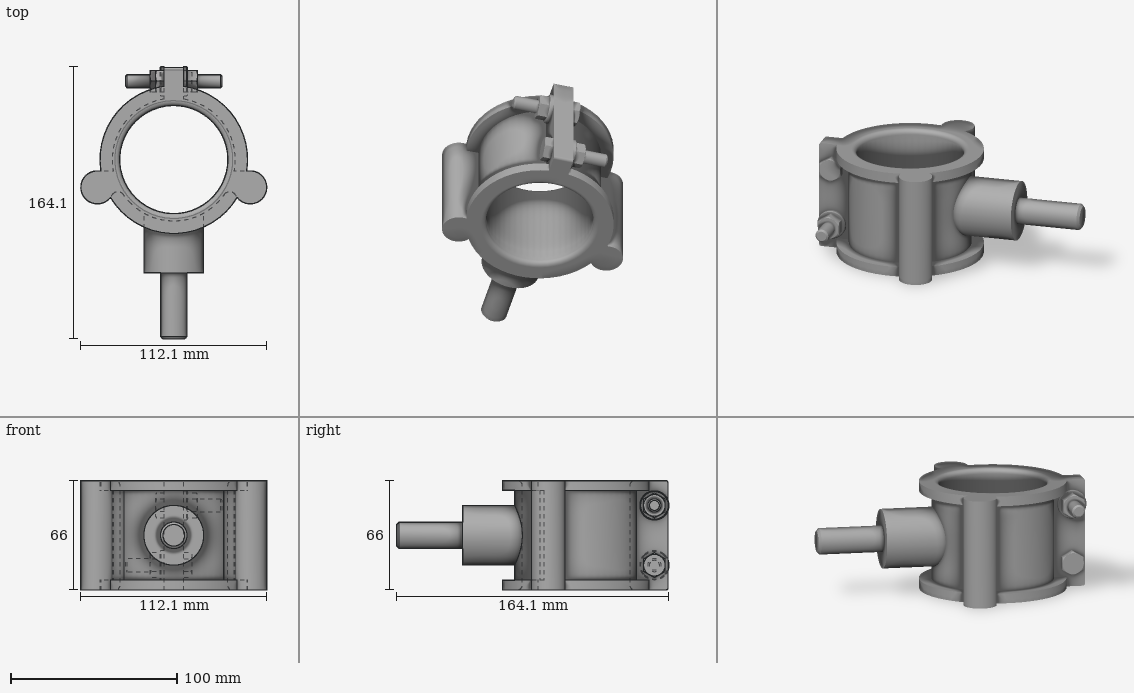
import cadquery as cq
import math

ring_height = 66.0
bore_radius = 32.5
wall_radius = 37.0
flange_radius = 44.5
flange_thickness = 6.0
bore_mouth_fillet = 3.0

post_radius = 10.0
post_distance = 49.0
post_angle = 20.0
post_fillet = 4.0

boss_radius = 18.0
boss_end = 68.3
rod_radius = 8.0
rod_end = 108.1
rod_chamfer = 1.5

lug_width = 12.0
lug_end = 55.5
lug_end_fillet = 1.5

bolt_y = 47.2
bolt_offset_z = 18.0
bolt_radius = 4.0
bolt_tip_x = 29.1
bolt_tip_chamfer = 1.0
hex_across_flats = 13.0
head_thickness = 5.0
nut_thickness = 6.0
washer_radius = 8.8
washer_thickness = 2.3
washer_chamfer = 0.5
hex_chamfer_angle = 30.0

half_height = ring_height / 2
lug_face_x = lug_width / 2
lug_root_y = (bore_radius + wall_radius) / 2


def cylinder_z(radius, height, x=0.0, y=0.0):
    """Upright cylinder centred on the Z = 0 plane."""
    return cq.Workplane("XY").center(x, y).circle(radius).extrude(height / 2, both=True)


def cylinder_x(radius, start, length):
    """Cylinder on the X axis, running from X = start towards +X."""
    return cq.Workplane("YZ", origin=(start, 0, 0)).circle(radius).extrude(length)


def cylinder_minus_y(radius, start, end):
    """Cylinder on the Y axis, running from Y = -start to Y = -end."""
    return cq.Workplane("XZ", origin=(0, -start, 0)).circle(radius).extrude(end - start)


def make_ring():
    ring = cylinder_z(wall_radius, ring_height)
    for bottom in (-half_height, half_height - flange_thickness):
        flange = cq.Workplane("XY", origin=(0, 0, bottom)).circle(flange_radius)
        ring = ring.union(flange.extrude(flange_thickness))
    return ring


def make_post():
    """Post on the +X side; its web is flat towards +Y and filleted towards -Y."""
    post_x = post_distance * math.cos(math.radians(post_angle))
    post_y = -post_distance * math.sin(math.radians(post_angle))
    flat_y = post_y + post_radius

    wall_to_fillet = wall_radius + post_fillet
    post_to_fillet = post_radius + post_fillet
    along = (post_distance**2 + wall_to_fillet**2 - post_to_fillet**2) / (2 * post_distance)
    fillet_angle = -math.radians(post_angle) - math.acos(along / wall_to_fillet)
    fillet_x = wall_to_fillet * math.cos(fillet_angle)
    fillet_y = wall_to_fillet * math.sin(fillet_angle)

    corners = [(0, flat_y), (fillet_x, fillet_y), (post_x, post_y), (post_x, flat_y)]
    web = cq.Workplane("XY").polyline(corners).close().extrude(half_height, both=True)
    web = web.cut(cylinder_z(post_fillet, ring_height, fillet_x, fillet_y))
    return web.union(cylinder_z(post_radius, ring_height, post_x, post_y))


def make_lug():
    lug = cq.Workplane("XY").box(lug_width, lug_end - lug_root_y, ring_height)
    lug = lug.translate((0, (lug_end + lug_root_y) / 2, 0))
    return lug.edges("|X and >Y").fillet(lug_end_fillet)


def make_arm():
    boss = cylinder_minus_y(boss_radius, 0, boss_end)
    rod = cylinder_minus_y(rod_radius, boss_end, rod_end)
    return boss.union(rod.faces("<Y").chamfer(rod_chamfer))


def make_bore():
    """Space inside the ring, widening at both ends along the rounded mouths."""
    mouth_radius = bore_radius + bore_mouth_fillet
    straight_half = half_height - bore_mouth_fillet
    arc_offset = bore_mouth_fillet * math.sqrt(0.5)
    arc_x = mouth_radius - arc_offset
    arc_z = straight_half + arc_offset
    profile = (
        cq.Workplane("XZ")
        .moveTo(0, -half_height)
        .lineTo(mouth_radius, -half_height)
        .threePointArc((arc_x, -arc_z), (bore_radius, -straight_half))
        .lineTo(bore_radius, straight_half)
        .threePointArc((arc_x, arc_z), (mouth_radius, half_height))
        .lineTo(0, half_height)
        .close()
    )
    return profile.revolve(360, (0, 0, 0), (0, 1, 0))


def make_hex(start, thickness):
    """Hexagon along +X with its outer corners turned down to a cone."""
    corner_radius = hex_across_flats / math.sqrt(3)
    corner_cut = corner_radius - hex_across_flats / 2
    corner_drop = corner_cut * math.tan(math.radians(hex_chamfer_angle))
    hexagon = cq.Workplane("YZ", origin=(start, 0, 0)).polygon(6, 2 * corner_radius).extrude(thickness)
    hexagon = hexagon.rotate((0, 0, 0), (1, 0, 0), 90)
    blank = cylinder_x(corner_radius, start, thickness)
    blank = blank.faces(">X").chamfer(corner_drop, corner_cut)
    return hexagon.intersect(blank)


def make_bolt():
    """Bolt with its washer and nut at +X and its head at -X."""
    shank = cylinder_x(bolt_radius, -lug_face_x, bolt_tip_x + lug_face_x)
    shank = shank.faces(">X").chamfer(bolt_tip_chamfer)
    washer = cylinder_x(washer_radius, lug_face_x, washer_thickness)
    washer = washer.faces(">X").edges().chamfer(washer_chamfer)
    nut = make_hex(lug_face_x + washer_thickness, nut_thickness)
    head = make_hex(lug_face_x, head_thickness).rotate((0, 0, 0), (0, 0, 1), 180)
    return shank.union(washer).union(nut).union(head)


post = make_post()
body = make_ring().union(post).union(post.mirror("YZ"))
body = body.union(make_lug()).union(make_arm())
body = body.cut(make_bore())

bolt = make_bolt()
reversed_bolt = bolt.rotate((0, 0, 0), (0, 0, 1), 180)
body = body.union(bolt.translate((0, bolt_y, bolt_offset_z)))
body = body.union(reversed_bolt.translate((0, bolt_y, -bolt_offset_z)))

result = body